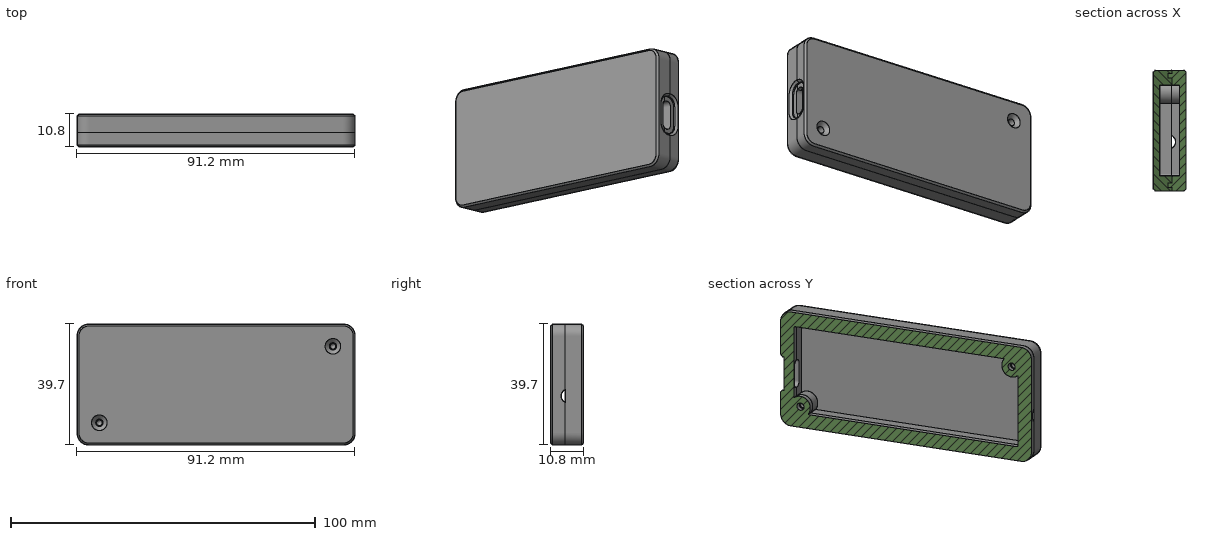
import cadquery as cq

LENGTH = 91.2
DEPTH = 10.8
HEIGHT = 39.7
CORNER_RADIUS = 3.8
EDGE_CHAMFER = 0.6
SPLIT_Y = -0.68
LEFT_X = -LENGTH / 2
RIGHT_X = LENGTH / 2
FRONT_Y = -DEPTH / 2
BACK_Y = DEPTH / 2

WALL = 5.0
FLOOR = 2.2
CAVITY_CORNER_RADIUS = 0.5
CAVITY_FRONT_Y = FRONT_Y + FLOOR
CAVITY_BACK_Y = BACK_Y - FLOOR

TONGUE_INSET = 1.1
TONGUE_WIDTH = 1.6
TONGUE_HEIGHT = 1.4
TONGUE_TOP_Y = SPLIT_Y + TONGUE_HEIGHT

PORT_Y = -0.4
PORT_Z = -2.0
PORT_WIDTH = 3.6
PORT_HEIGHT = 9.4
PORT_CORNER_RADIUS = 1.55
RECESS_MARGIN = 1.55
RECESS_DEPTH = 1.3
RECESS_CHAMFER = 0.775

NOTCH_RADIUS = 2.3
NOTCH_Y = 0.4
NOTCH_Z = -3.7

SCREW_INSET = 7.3
SINK_RADIUS = 2.55
CLEARANCE_RADIUS = 1.2
SINK_DEPTH = SINK_RADIUS - CLEARANCE_RADIUS
PILOT_RADIUS = 0.9
PILOT_END_Y = 2.7
PILOT_TIP_LENGTH = 0.55
BOSS_RADIUS = 3.65
SCREW_X = LENGTH / 2 - SCREW_INSET
SCREW_Z = HEIGHT / 2 - SCREW_INSET
SCREW_PLACES = [(-SCREW_X, -SCREW_Z), (SCREW_X, SCREW_Z)]


def plate(inset, radius, start_y, end_y):
    """Plate with rounded corners, inset from the enclosure outline."""
    return (
        cq.Workplane("XZ", origin=(0, start_y, 0))
        .rect(LENGTH - 2 * inset, HEIGHT - 2 * inset)
        .extrude(start_y - end_y)
        .edges("|Y")
        .fillet(radius)
    )


def bar(x, z, radius, start_y, end_y):
    """Round bar along Y."""
    return cq.Workplane("XZ", origin=(x, start_y, z)).circle(radius).extrude(start_y - end_y)


def cone(x, z, start_radius, end_radius, start_y, length):
    """Cone along +Y."""
    return cq.Workplane(
        cq.Solid.makeCone(
            start_radius, end_radius, length, pnt=cq.Vector(x, start_y, z), dir=cq.Vector(0, 1, 0)
        )
    )


def cavity(start_y, end_y):
    """Interior space between two Y positions."""
    return plate(WALL, CAVITY_CORNER_RADIUS, start_y, end_y)


def tongue():
    """Closed ring standing on the parting plane, midway in the walls."""
    inner_inset = TONGUE_INSET + TONGUE_WIDTH
    outer = plate(TONGUE_INSET, CORNER_RADIUS - TONGUE_INSET, SPLIT_Y, TONGUE_TOP_Y)
    inner = plate(inner_inset, CORNER_RADIUS - inner_inset, SPLIT_Y, TONGUE_TOP_Y)
    return outer.cut(inner)


def port_block(margin, depth):
    """The port outline, grown by a margin and run inward from the -X end."""
    return (
        cq.Workplane("YZ", origin=(LEFT_X, PORT_Y, PORT_Z))
        .rect(PORT_WIDTH + 2 * margin, PORT_HEIGHT + 2 * margin)
        .extrude(depth)
        .edges("|X")
        .fillet(PORT_CORNER_RADIUS + margin)
    )


def port():
    """Cutter for the port passage, its recess and the chamfer at the recess mouth."""
    passage = port_block(0, WALL)
    recess = port_block(RECESS_MARGIN, RECESS_DEPTH)
    mouth = (
        port_block(RECESS_MARGIN + RECESS_CHAMFER, RECESS_DEPTH)
        .faces(">X")
        .chamfer(RECESS_CHAMFER)
        .translate((RECESS_CHAMFER - RECESS_DEPTH, 0, 0))
    )
    return passage.union(recess).union(mouth)


def notch():
    """Cutter for the round notch in the +X wall."""
    return (
        cq.Workplane("YZ", origin=(RIGHT_X - WALL, NOTCH_Y, NOTCH_Z))
        .circle(NOTCH_RADIUS)
        .extrude(WALL)
    )


def make_front_shell():
    """Front shell: tongue, countersunk screw holes and the notch."""
    shell = plate(0, CORNER_RADIUS, FRONT_Y, SPLIT_Y).faces("<Y").chamfer(EDGE_CHAMFER)
    shell = shell.cut(cavity(CAVITY_FRONT_Y, SPLIT_Y)).union(tongue())
    for x, z in SCREW_PLACES:
        shell = shell.union(bar(x, z, BOSS_RADIUS, CAVITY_FRONT_Y, SPLIT_Y))
        shell = shell.cut(bar(x, z, CLEARANCE_RADIUS, FRONT_Y, SPLIT_Y))
        shell = shell.cut(cone(x, z, SINK_RADIUS, CLEARANCE_RADIUS, FRONT_Y, SINK_DEPTH))
    return shell.cut(port()).cut(notch())


def make_back_shell():
    """Back shell: groove for the tongue and blind pilot holes with conical ends."""
    shell = plate(0, CORNER_RADIUS, SPLIT_Y, BACK_Y).faces(">Y").chamfer(EDGE_CHAMFER)
    shell = shell.cut(cavity(SPLIT_Y, CAVITY_BACK_Y)).cut(tongue())
    for x, z in SCREW_PLACES:
        shell = shell.union(bar(x, z, BOSS_RADIUS, SPLIT_Y, CAVITY_BACK_Y))
        shell = shell.cut(bar(x, z, PILOT_RADIUS, SPLIT_Y, PILOT_END_Y))
        shell = shell.cut(cone(x, z, PILOT_RADIUS, 0, PILOT_END_Y, PILOT_TIP_LENGTH))
    return shell.cut(port())


front_shell = make_front_shell()
back_shell = make_back_shell()
result = cq.Compound.makeCompound([front_shell.solids().val(), back_shell.solids().val()])